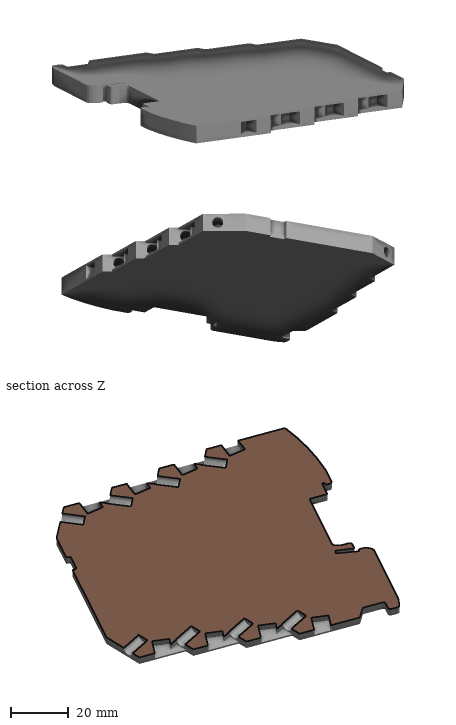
import cadquery as cq
import math


width = 93.1
height = 101.2
thickness = 6.3
half_width = width / 2

tier_count = 4
tier_pitch = 18.5
tier_step = 2.88
lowest_shoulder_y = 37.95
slope_angle = 30.0
slope_tan = math.tan(math.radians(slope_angle))
top_half_width = 25.0

notch_left = 9.2
notch_right = 14.9
notch_depth = 1.5
notch_flare = 0.3

rail_top_y = 12.6
rail_left_x = -10.6
rail_right_x = 12.0
rail_seat_y = 6.0
hook_inner_x = 17.4
hook_gap_y = 5.5
hook_tip_x = 16.3
hook_tip_y = 4.9
hook_bottom_y = 2.6
hook_radius = 1.0
belly_start_x = 22.8
belly_mid = (36.15, 5.15)
belly_end_y = 9.0

tongue_bottom_y = 6.1
tongue_left_x = -15.3
tongue_right_x = -12.1
tongue_root = (-11.3, 12.2)
tongue_knee_y = 9.9
tongue_radius = 1.0
slit_bottom_x = -16.9
slit_top_y = 12.5
slit_top_left_x = -15.2
slit_top_right_x = -14.1
slit_round_rise = 0.4

foot_top_y = 5.1
foot_right_x = -16.0
foot_side_y = 3.4
foot_right_bulge = (-16.4, 1.8)
foot_right_arc_end = (-17.45, 0.4)
foot_flat_right_x = -18.2
foot_flat_left_x = -42.6
foot_left_bulge = (-46.3, 1.1)
foot_left_arc_end = (-45.8, 0.75)
foot_left_y = 1.65
foot_top_radius = 1.1
undercut_x = -42.6
undercut_top_y = 15.65
undercut_slope_end_y = 13.1
undercut_radius = 0.75

cavity_height = 4.7
funnel_opening = 6.05
funnel_depth = 5.8
funnel_tilt = 10.0
funnel_top_offset = 5.5
channel_width = 4.15
channel_length = 6.5
screw_diameter = 3.8
screw_depth = 8.0
screw_rise = 2.85
mid_z = thickness / 2


def terminal_y(tier):
    """Y of the evenly spaced terminal grid; every shoulder but the top one ends on it."""
    return lowest_shoulder_y + (tier_count - 1 - tier) * tier_pitch


def shoulder_y(tier):
    """Y of the outer end of the sloped shoulder on top of a tier (0 = highest tier)."""
    if tier == 0:
        return height - (tier_half_width(0) - top_half_width) * slope_tan
    return terminal_y(tier)


def tier_half_width(tier):
    return half_width - (tier_count - 1 - tier) * tier_step


def tier_points(side):
    """Stepped flank from the top edge down to the lowest shoulder; side is -1 or +1."""
    points = [(side * top_half_width, height)]
    for tier in range(tier_count):
        outer_x = tier_half_width(tier)
        outer_y = shoulder_y(tier)
        if tier > 0:
            points.append((side * (outer_x - tier_step), outer_y + tier_step * slope_tan))
        points.append((side * outer_x, outer_y))
    return points


def housing():
    outline = cq.Workplane("XY").moveTo(-top_half_width, height)
    outline = (
        outline.lineTo(notch_left - notch_flare, height)
        .lineTo(notch_left, height - notch_depth)
        .lineTo(notch_right, height - notch_depth)
        .lineTo(notch_right + notch_flare, height)
    )
    for point in tier_points(1):
        outline = outline.lineTo(*point)
    outline = (
        outline.lineTo(half_width, belly_end_y)
        .threePointArc(belly_mid, (belly_start_x, hook_bottom_y))
        .lineTo(hook_tip_x + hook_radius, hook_bottom_y)
        .radiusArc((hook_tip_x, hook_bottom_y + hook_radius), hook_radius)
        .lineTo(hook_tip_x, hook_tip_y)
        .lineTo(hook_inner_x, hook_gap_y)
        .lineTo(hook_inner_x, rail_seat_y)
        .lineTo(rail_right_x, rail_seat_y)
        .lineTo(rail_right_x, rail_top_y)
        .lineTo(rail_left_x, rail_top_y)
    )
    outline = (
        outline.lineTo(*tongue_root)
        .lineTo(tongue_right_x, tongue_knee_y)
        .lineTo(tongue_right_x, tongue_bottom_y + tongue_radius)
        .radiusArc((tongue_right_x - tongue_radius, tongue_bottom_y), tongue_radius)
        .lineTo(tongue_left_x, tongue_bottom_y)
        .lineTo(slit_top_right_x, slit_top_y)
        .threePointArc(
            ((slit_top_left_x + slit_top_right_x) / 2, slit_top_y + slit_round_rise),
            (slit_top_left_x, slit_top_y),
        )
        .lineTo(slit_bottom_x, foot_top_y)
    )
    outline = (
        outline.lineTo(foot_right_x, foot_top_y)
        .lineTo(foot_right_x, foot_side_y)
        .threePointArc(foot_right_bulge, foot_right_arc_end)
        .lineTo(foot_flat_right_x, 0)
        .lineTo(foot_flat_left_x, 0)
        .lineTo(*foot_left_arc_end)
        .threePointArc(foot_left_bulge, (-half_width, foot_left_y))
        .lineTo(-half_width, foot_top_y - foot_top_radius)
        .radiusArc((-half_width + foot_top_radius, foot_top_y), foot_top_radius)
        .lineTo(undercut_x, foot_top_y)
        .lineTo(undercut_x, undercut_slope_end_y)
        .lineTo(-half_width, undercut_top_y)
    )
    for point in reversed(tier_points(-1)[1:]):
        outline = outline.lineTo(*point)
    body = outline.close().extrude(thickness)
    undercut_middle = (undercut_x, (foot_top_y + undercut_slope_end_y) / 2, mid_z)
    wall = cq.selectors.NearestToPointSelector(undercut_middle)
    return body.faces(wall).edges("|Z").fillet(undercut_radius)


def cavity(points):
    """Prism of cavity height, centred in the plate thickness."""
    plane = cq.Workplane("XY", origin=(0, 0, mid_z))
    return plane.polyline(points).close().extrude(cavity_height / 2, both=True)


def funnel(tier):
    """Tilted wire funnel opening on the left face of a tier."""
    face_x = -tier_half_width(tier)
    mouth_top = terminal_y(tier) - funnel_top_offset
    mouth_bottom = mouth_top - funnel_opening
    tilt = math.radians(funnel_tilt)
    run = funnel_depth * math.cos(tilt)
    drop = funnel_depth * math.sin(tilt)
    floor_width = funnel_opening * math.cos(tilt)
    deep_top = (face_x + run, mouth_top - drop)
    deep_bottom = (
        deep_top[0] - floor_width * math.sin(tilt),
        deep_top[1] - floor_width * math.cos(tilt),
    )
    return cavity([(face_x, mouth_top), deep_top, deep_bottom, (face_x, mouth_bottom)])


def driver_channel(tier):
    """Screwdriver access standing on the shoulder plane of a tier, cut into the tier above."""
    slope = math.radians(slope_angle)
    along = (math.cos(slope), math.sin(slope))
    outward = (-math.sin(slope), math.cos(slope))
    edge_x = -tier_half_width(tier - 1)
    edge_y = shoulder_y(tier) + tier_step * slope_tan
    inner = (edge_x + channel_width * along[0], edge_y + channel_width * along[1])
    inner_end = (
        inner[0] + channel_length * outward[0],
        inner[1] + channel_length * outward[1],
    )
    return cavity([(edge_x, edge_y), inner, inner_end, (edge_x, inner_end[1])])


def screw_hole(tier):
    """Blind screw hole square to the shoulder plane of a tier."""
    slope = math.radians(slope_angle)
    center_y = terminal_y(tier) + screw_rise
    center_x = -tier_half_width(tier) + (center_y - shoulder_y(tier)) / slope_tan
    center = cq.Vector(center_x, center_y, mid_z)
    inward = cq.Vector(math.sin(slope), -math.cos(slope), 0)
    return cq.Workplane(obj=cq.Solid.makeCylinder(screw_diameter / 2, screw_depth, center, inward))


result = housing()
for tier_index in range(tier_count):
    cutters = [funnel(tier_index), screw_hole(tier_index)]
    if tier_index > 0:
        cutters.append(driver_channel(tier_index))
    for cutter in cutters:
        result = result.cut(cutter).cut(cutter.mirror("YZ"))